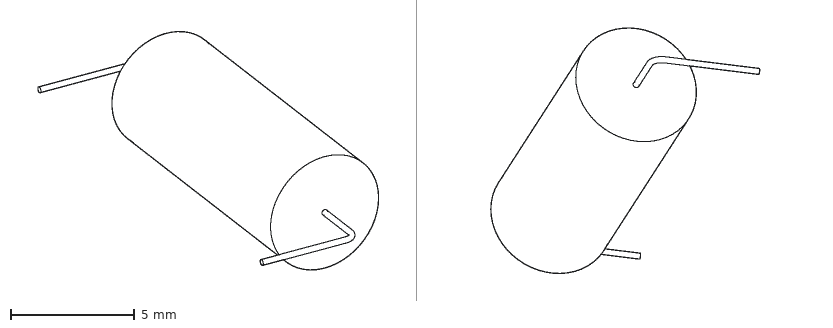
import cadquery as cq

overall_length = 18.03
body_length = 12.7
body_diameter = 5.08
band_length = 2.52
lead_diameter = 0.25
bend_radius = 0.5
lead_reach = 4.45

lead_x = (overall_length - lead_diameter) / 2


def make_cylinder(start_x, length):
    return (
        cq.Workplane("YZ", origin=(start_x, 0, 0))
        .circle(body_diameter / 2)
        .extrude(length)
    )


def make_body():
    """Main cylinder and flush end band, keeping the boundary between them."""
    main_length = body_length - band_length
    main = make_cylinder(-body_length / 2, main_length)
    band = make_cylinder(body_length / 2 - band_length, band_length)
    return main.union(band, clean=False)


def make_right_lead():
    """Lead from the center of the body, through the +X end, to its bent tip."""
    path = (
        cq.Workplane("XY")
        .lineTo(lead_x - bend_radius, 0)
        .tangentArcPoint((lead_x, -bend_radius), relative=False)
        .lineTo(lead_x, -lead_reach)
    )
    return cq.Workplane("YZ").circle(lead_diameter / 2).sweep(path)


right_lead = make_right_lead()
left_lead = right_lead.mirror("YZ")
result = make_body().union(right_lead, clean=False).union(left_lead, clean=False)